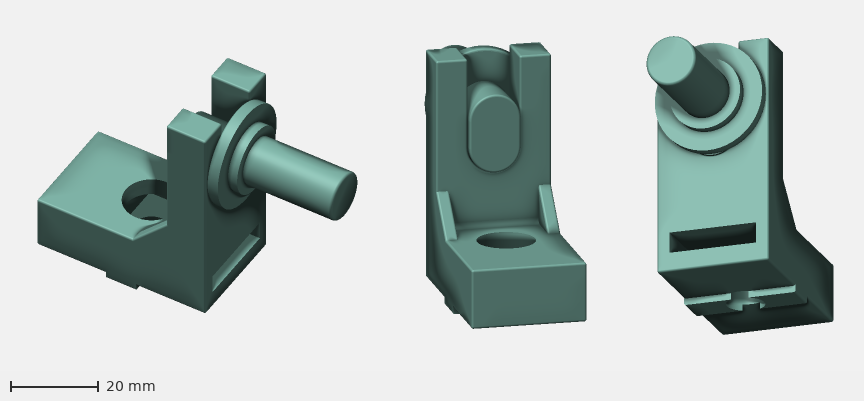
import cadquery as cq

BRACKET_LENGTH = 45.0
BRACKET_WIDTH = 27.0
BRACKET_TOP = 55.5
PAD_HEIGHT = 1.55
FOOT_TOP = 15.55
UPRIGHT_THICKNESS = 10.5
UPRIGHT_FRONT = BRACKET_LENGTH - UPRIGHT_THICKNESS
GUSSET_LEG = 9.0
GUSSET_THICKNESS = 3.0
BETWEEN_GUSSETS = BRACKET_WIDTH - 2 * GUSSET_THICKNESS
EDGE_RADIUS = 0.5
INNER_CORNER_RADIUS = 1.3

BOLT_X = 22.4
BOLT_HOLE_DIAMETER = 9.0
COUNTERBORE_DIAMETER = 13.6
COUNTERBORE_DEPTH = 4.6
CHANNEL_HEIGHT = 4.9
CHANNEL_TOP = FOOT_TOP - COUNTERBORE_DEPTH
CHANNEL_FLOOR = CHANNEL_TOP - CHANNEL_HEIGHT
CHANNEL_START = BOLT_X - COUNTERBORE_DIAMETER / 2

PAD_LENGTH = 8.0
PAD_OVERLAP = 2 * EDGE_RADIUS

PIN_DIAMETER = 12.0
SHAFT_Z = 41.65
TONGUE_LOWER_Z = 34.55
TONGUE_ARC_SPACING = 6.5
TONGUE_START = 33.0
FLANGE_DIAMETER = 26.0
FLANGE_THICKNESS = 2.95
COLLAR_DIAMETER = 17.0
COLLAR_THICKNESS = 2.45
PIN_END = 74.0
SHAFT_END_RADIUS = 0.7

SLOT_CLEARANCE = 0.11
SLOT_RADIUS = PIN_DIAMETER / 2 + SLOT_CLEARANCE

TOLERANCE = 0.01


def box(x_range, width, z_range):
    """Block centred on Y = 0 between the given X and Z limits."""
    return (
        cq.Workplane("XY", origin=(x_range[0], 0, z_range[0]))
        .box(x_range[1] - x_range[0], width, z_range[1] - z_range[0], centered=(False, True, False))
    )


def vertical_cylinder(diameter, bottom, top):
    """Cylinder on the bolt axis."""
    return cq.Workplane("XY", origin=(BOLT_X, 0, bottom)).circle(diameter / 2).extrude(top - bottom)


def bracket_blank():
    """Sharp-edged block with a gusset at each side and the open pin slot."""
    profile = [
        (0, PAD_HEIGHT),
        (BRACKET_LENGTH, PAD_HEIGHT),
        (BRACKET_LENGTH, BRACKET_TOP),
        (UPRIGHT_FRONT, BRACKET_TOP),
        (UPRIGHT_FRONT, FOOT_TOP + GUSSET_LEG),
        (UPRIGHT_FRONT - GUSSET_LEG, FOOT_TOP),
        (0, FOOT_TOP),
    ]
    blank = cq.Workplane("XZ").polyline(profile).close().extrude(BRACKET_WIDTH / 2, both=True)
    gusset_gap = box(
        (UPRIGHT_FRONT - GUSSET_LEG, UPRIGHT_FRONT), BETWEEN_GUSSETS, (FOOT_TOP, FOOT_TOP + GUSSET_LEG)
    )
    slot_bottom = cq.Workplane("YZ", origin=(0, 0, TONGUE_LOWER_Z)).circle(SLOT_RADIUS).extrude(BRACKET_LENGTH)
    slot_sides = box((0, BRACKET_LENGTH), 2 * SLOT_RADIUS, (TONGUE_LOWER_Z, BRACKET_TOP))
    return blank.cut(gusset_gap).cut(slot_bottom.union(slot_sides))


def is_inner_corner(edge):
    """True for the edge where the foot meets the upright, between the gussets."""
    middle = edge.Center()
    return abs(middle.x - UPRIGHT_FRONT) < TOLERANCE and abs(middle.z - FOOT_TOP) < TOLERANCE


def is_outside_edge(edge):
    """True for convex edges; false for those around the feet and ends of the gussets."""
    bounds = edge.BoundingBox()
    gusset_start = UPRIGHT_FRONT - GUSSET_LEG
    gusset_top = FOOT_TOP + GUSSET_LEG
    in_gusset_x = bounds.xmin > gusset_start - TOLERANCE and bounds.xmax < UPRIGHT_FRONT + TOLERANCE
    in_gusset_z = bounds.zmin > FOOT_TOP - TOLERANCE and bounds.zmax < gusset_top + TOLERANCE
    is_sloped = bounds.xlen > TOLERANCE and bounds.zlen > TOLERANCE
    return is_sloped or not (in_gusset_x and in_gusset_z)


def round_edges(blank):
    """Round the outside edges, then fill the corner between foot and upright."""
    outside_edges = [edge for edge in blank.edges().vals() if is_outside_edge(edge)]
    rounded = blank.newObject(outside_edges).fillet(EDGE_RADIUS)
    corner_edges = [edge for edge in rounded.edges().vals() if is_inner_corner(edge)]
    return rounded.newObject(corner_edges).fillet(INNER_CORNER_RADIUS)


def make_bracket():
    bracket = round_edges(bracket_blank())
    pad = box(
        (BOLT_X - PAD_LENGTH / 2, BOLT_X + PAD_LENGTH / 2), BRACKET_WIDTH, (0, PAD_HEIGHT + PAD_OVERLAP)
    )
    pad = pad.edges("|X and <Z").fillet(EDGE_RADIUS)
    channel = box((CHANNEL_START, BRACKET_LENGTH), BETWEEN_GUSSETS, (CHANNEL_FLOOR, CHANNEL_TOP))
    counterbore = vertical_cylinder(COUNTERBORE_DIAMETER, CHANNEL_TOP, FOOT_TOP)
    bolt_hole = vertical_cylinder(BOLT_HOLE_DIAMETER, 0, FOOT_TOP)
    return bracket.union(pad).cut(channel).cut(counterbore).cut(bolt_hole)


def shaft_section(diameter, start, length):
    """Round length of the pin on the shaft axis."""
    return cq.Workplane("YZ", origin=(start, 0, SHAFT_Z)).circle(diameter / 2).extrude(length)


def make_pin():
    tongue = (
        cq.Workplane("YZ", origin=(TONGUE_START, 0, TONGUE_LOWER_Z + TONGUE_ARC_SPACING / 2))
        .slot2D(TONGUE_ARC_SPACING + PIN_DIAMETER, PIN_DIAMETER, 90)
        .extrude(BRACKET_LENGTH - TONGUE_START)
        .faces("<X").edges().fillet(EDGE_RADIUS)
    )
    collar_start = BRACKET_LENGTH + FLANGE_THICKNESS
    shaft_start = collar_start + COLLAR_THICKNESS
    flange = shaft_section(FLANGE_DIAMETER, BRACKET_LENGTH, FLANGE_THICKNESS)
    flange = flange.faces("<X").edges().fillet(EDGE_RADIUS)
    collar = shaft_section(COLLAR_DIAMETER, collar_start, COLLAR_THICKNESS)
    shaft = shaft_section(PIN_DIAMETER, shaft_start, PIN_END - shaft_start)
    shaft = shaft.faces(">X").edges().fillet(SHAFT_END_RADIUS)
    return tongue.union(flange).union(collar).union(shaft)


bracket = make_bracket()
pin = make_pin()
result = cq.Compound.makeCompound([bracket.val(), pin.val()])